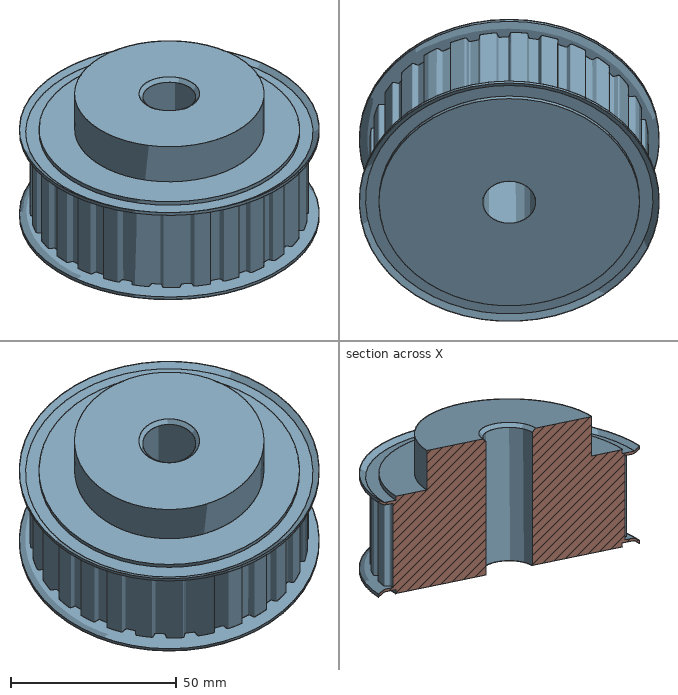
import cadquery as cq
import math

flange_diameter = 90.6
total_height = 44.5
hub_diameter = 57.25
hub_height = 12.8
flanged_height = total_height - hub_height

bore_diameter = 15.9
bore_chamfer = 1.2

tooth_count = 28
tooth_diameter = 84.15
groove_depth = 1.8
groove_floor_width = 3.0
groove_flank_angle = 20.0
groove_root_radius = 0.45
tooth_tip_radius = 0.5

web_diameter = 78.7
plate_recess = 1.3
plate_thickness = 1.0
lip_run = 1.9
lip_edge_height = 1.0
lip_bend_radius = 2.9

flange_radius = flange_diameter / 2
tooth_radius = tooth_diameter / 2
web_radius = web_diameter / 2
mid_height = flanged_height / 2
lip_height = plate_recess + plate_thickness


def make_groove():
    """Straight-sided belt groove with rounded roots, at the -Y side of the rim."""
    floor_radius = tooth_radius - groove_depth
    half_floor = groove_floor_width / 2
    flank_slope = math.tan(math.radians(groove_flank_angle))
    half_mouth = half_floor + (flange_radius - floor_radius) * flank_slope
    return (
        cq.Workplane("XY")
        .polyline([
            (-half_floor, -floor_radius),
            (half_floor, -floor_radius),
            (half_mouth, -flange_radius),
            (-half_mouth, -flange_radius),
        ])
        .close()
        .extrude(flanged_height)
        .edges("|Z and >Y")
        .fillet(groove_root_radius)
    )


def is_tooth_tip(edge):
    """True for an upright edge lying on the outside of the teeth."""
    center = edge.Center()
    return math.hypot(center.x, center.y) > tooth_radius - groove_depth / 10


def make_toothed_rim():
    """Ring of teeth between the two flange plates, with rounded tooth tips."""
    rim = (
        cq.Workplane("XY")
        .workplane(offset=plate_recess)
        .circle(tooth_radius)
        .extrude(flanged_height - 2 * plate_recess)
    )
    groove = make_groove()
    for index in range(tooth_count):
        rim = rim.cut(groove.rotate((0, 0, 0), (0, 0, 1), index * 360 / tooth_count))
    return rim.edges("|Z").filter(is_tooth_tip).fillet(tooth_tip_radius)


def make_top_flange():
    """Web, plate and lip; the lip underside runs parallel to its top and bends into the plate."""
    top = flanged_height
    bend_corner = flange_radius - (lip_height - lip_edge_height) * lip_run / plate_recess
    flange = (
        cq.Workplane("XZ")
        .polyline([
            (0, top - lip_height),
            (bend_corner, top - lip_height),
            (flange_radius, top - lip_edge_height),
            (flange_radius, top),
            (flange_radius - lip_run, top - plate_recess),
            (web_radius, top - plate_recess),
            (web_radius, top),
            (0, top),
        ])
        .close()
        .revolve(360, (0, 0, 0), (0, 1, 0))
    )
    return flange.faces("<Z").edges().fillet(lip_bend_radius)


def make_hub():
    """Plain cylindrical hub rising from the middle of the pulley."""
    return (
        cq.Workplane("XY")
        .workplane(offset=mid_height)
        .circle(hub_diameter / 2)
        .extrude(total_height - mid_height)
    )


def make_bore():
    """Through bore with a chamfered mouth at the hub face."""
    bore_radius = bore_diameter / 2
    mouth_radius = bore_radius + bore_chamfer
    return (
        cq.Workplane("XZ")
        .polyline([
            (0, 0),
            (bore_radius, 0),
            (bore_radius, total_height - bore_chamfer),
            (mouth_radius, total_height),
            (0, total_height),
        ])
        .close()
        .revolve(360, (0, 0, 0), (0, 1, 0))
    )


top_flange = make_top_flange()
bottom_flange = top_flange.mirror("XY", (0, 0, mid_height))

result = (
    make_toothed_rim()
    .union(top_flange)
    .union(bottom_flange)
    .union(make_hub())
    .cut(make_bore())
)